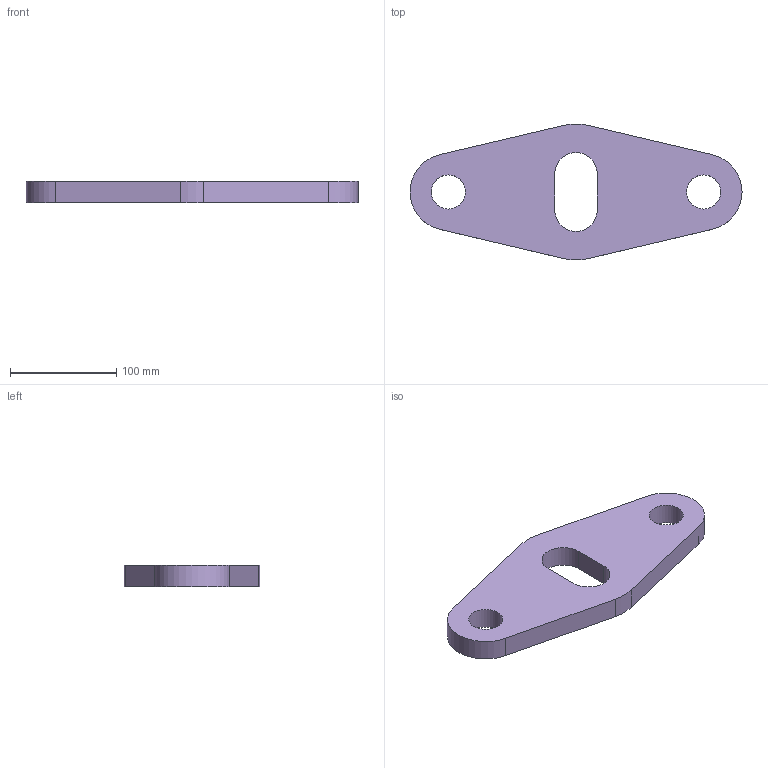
import cadquery as cq
import math

thickness = 20.0

hole_diameter = 32.0
hole_offset = 120.0
end_radius = 36.0

slot_width = 40.0
slot_length = 74.0

crown_radius = 47.0
crown_offset = (slot_length - slot_width) / 2

half_length = hole_offset + end_radius
half_width = crown_offset + crown_radius

center_distance = math.hypot(hole_offset, crown_offset)
center_line_angle = math.atan2(crown_offset, hole_offset)
flank_angle = center_line_angle + math.asin((crown_radius - end_radius) / center_distance)

end_x = hole_offset + end_radius * math.sin(flank_angle)
end_y = end_radius * math.cos(flank_angle)
crown_x = crown_radius * math.sin(flank_angle)
crown_y = crown_offset + crown_radius * math.cos(flank_angle)


def make_plate():
    """Diamond-shaped plate with rounded ends and crowns, base on Z = 0."""
    return (
        cq.Workplane("XY")
        .moveTo(end_x, -end_y)
        .threePointArc((half_length, 0), (end_x, end_y))
        .lineTo(crown_x, crown_y)
        .threePointArc((0, half_width), (-crown_x, crown_y))
        .lineTo(-end_x, end_y)
        .threePointArc((-half_length, 0), (-end_x, -end_y))
        .lineTo(-crown_x, -crown_y)
        .threePointArc((0, -half_width), (crown_x, -crown_y))
        .close()
        .extrude(thickness)
    )


def make_bolt_holes():
    """Cutters for the two through holes."""
    return (
        cq.Workplane("XY")
        .pushPoints([(-hole_offset, 0), (hole_offset, 0)])
        .circle(hole_diameter / 2)
        .extrude(thickness)
    )


def make_slot():
    """Cutter for the central through slot."""
    return cq.Workplane("XY").slot2D(slot_length, slot_width, angle=90).extrude(thickness)


result = make_plate().cut(make_bolt_holes()).cut(make_slot())